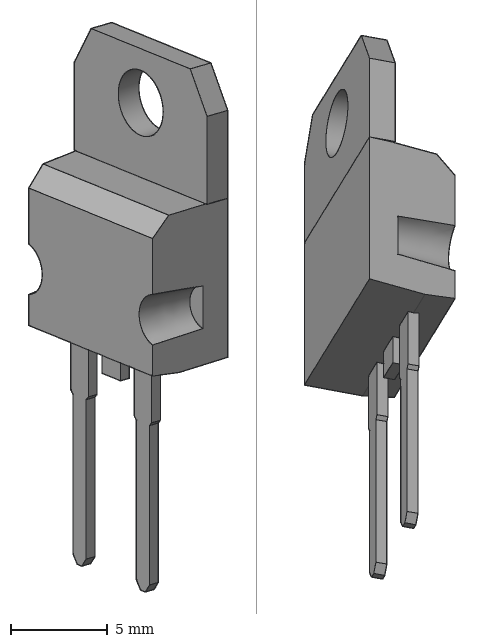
import cadquery as cq


total_height = 28.7
package_width = 10.65
package_depth = 4.8
front_y = -package_depth

tab_thickness = 1.4
tab_corner_width = 1.35
tab_corner_height = 2.25
tab_hole_diameter = 3.6
tab_hole_z = 25.72

lead_thickness = 0.6
lead_center_y = -3.1
lead_pitch = 5.08
lead_root_width = 1.4
lead_blade_width = 1.05
shoulder_top_z = 9.47
shoulder_bottom_z = 9.27
tip_width = 0.37
tip_height = 0.5
stub_width = 1.5
stub_bottom_z = 11.08

housing_top_z = 21.6
housing_bottom_z = 12.85
housing_front_width = 9.93
top_draft_drop = 0.11
bevel_depth = 1.03
bevel_height = 1.05
parting_ridge_drop = 0.17

notch_z = 15.95
notch_front_radius = 1.44
notch_floor_radius = 1.18
notch_depth = 3.21


def make_housing():
    """Moulded block with a flat ledge for the tab, drafted faces, a top bevel and two notches."""
    bevel_top_z = housing_top_z - top_draft_drop
    side_profile = (
        cq.Workplane("YZ")
        .polyline([
            (0, housing_bottom_z),
            (0, housing_top_z),
            (-tab_thickness, housing_top_z),
            (front_y + bevel_depth, bevel_top_z),
            (front_y, bevel_top_z - bevel_height),
            (front_y, housing_bottom_z),
            (lead_center_y, housing_bottom_z - parting_ridge_drop),
        ])
        .close()
        .extrude(package_width / 2, both=True)
    )
    drafted_plan = (
        cq.Workplane("XY")
        .polyline([
            (-package_width / 2, 0),
            (package_width / 2, 0),
            (housing_front_width / 2, front_y),
            (-housing_front_width / 2, front_y),
        ])
        .close()
        .extrude(total_height)
    )
    block = side_profile.intersect(drafted_plan)
    for side in (-1, 1):
        notch = cq.Solid.makeCone(
            notch_front_radius,
            notch_floor_radius,
            notch_depth,
            pnt=cq.Vector(side * package_width / 2, front_y, notch_z),
            dir=cq.Vector(0, 1, 0),
        )
        block = block.cut(cq.Workplane(obj=notch))
    return block


def make_tab():
    """Plate with cut corners and a screw hole, standing on the flat ledge of the housing."""
    half_width = package_width / 2
    plate = (
        cq.Workplane("XZ")
        .polyline([
            (-half_width, housing_top_z),
            (-half_width, total_height - tab_corner_height),
            (-half_width + tab_corner_width, total_height),
            (half_width - tab_corner_width, total_height),
            (half_width, total_height - tab_corner_height),
            (half_width, housing_top_z),
        ])
        .close()
        .extrude(tab_thickness)
    )
    hole = (
        cq.Workplane("XZ")
        .center(0, tab_hole_z)
        .circle(tab_hole_diameter / 2)
        .extrude(tab_thickness)
    )
    return plate.cut(hole)


def make_lead(center_x, housing):
    """Long flat lead with a wide root, sloped shoulders and a tapered tip."""
    right_edge = [
        (lead_root_width / 2, housing_bottom_z),
        (lead_root_width / 2, shoulder_top_z),
        (lead_blade_width / 2, shoulder_bottom_z),
        (lead_blade_width / 2, tip_height),
        (tip_width / 2, 0),
    ]
    left_edge = [(-x, z) for x, z in reversed(right_edge)]
    lead = (
        cq.Workplane("XZ")
        .polyline(right_edge + left_edge)
        .close()
        .extrude(lead_thickness / 2, both=True)
        .translate((center_x, lead_center_y, 0))
    )
    return lead.cut(housing)


def make_stub(housing):
    """Short cut-off centre lead, flush with the underside of the housing."""
    stub_height = housing_bottom_z - stub_bottom_z
    stub = (
        cq.Workplane("XY")
        .box(stub_width, lead_thickness, stub_height, centered=(True, True, False))
        .translate((0, lead_center_y, stub_bottom_z))
    )
    return stub.cut(housing)


housing = make_housing()
tab = make_tab()
leads = [make_lead(side * lead_pitch / 2, housing) for side in (-1, 1)]
stub = make_stub(housing)

result = cq.Compound.makeCompound([
    housing.solids().val(),
    tab.solids().val(),
    *[lead.solids().val() for lead in leads],
    stub.solids().val(),
])